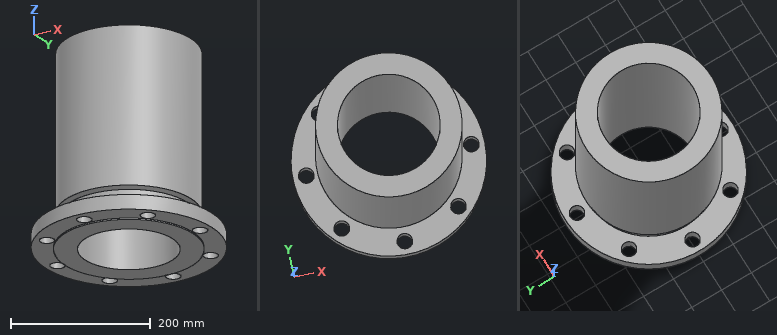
import cadquery as cq

total_height = 304.8
flange_diameter = 280.0
pipe_diameter = 210.0
neck_diameter = 197.0
bore_diameter = 147.0
raised_face_diameter = 216.0

raised_face_height = 2.0
flange_thickness = 23.0
neck_length = 26.0
shoulder_height = 4.0
neck_relief = 1.8

bolt_count = 8
bolt_circle_diameter = 240.5
bolt_hole_diameter = 22.0

flange_top = raised_face_height + flange_thickness
neck_top = flange_top + neck_length
shoulder_top = neck_top + shoulder_height


def turned_body():
    """Revolve the wall section: raised face, flange, neck with a bevelled foot, conical shoulder and pipe."""
    bore_radius = bore_diameter / 2
    raised_face_radius = raised_face_diameter / 2
    flange_radius = flange_diameter / 2
    neck_radius = neck_diameter / 2
    pipe_radius = pipe_diameter / 2
    section = [
        (bore_radius, 0),
        (raised_face_radius, 0),
        (raised_face_radius, raised_face_height),
        (flange_radius, raised_face_height),
        (flange_radius, flange_top),
        (neck_radius - neck_relief, flange_top),
        (neck_radius, flange_top + neck_relief),
        (neck_radius, neck_top),
        (pipe_radius, shoulder_top),
        (pipe_radius, total_height),
        (bore_radius, total_height),
    ]
    return cq.Workplane("XZ").polyline(section).close().revolve(360, (0, 0), (0, 1))


def bolt_holes():
    """Cylinders through the flange, one of them on the +X axis."""
    return (
        cq.Workplane("XY")
        .polarArray(bolt_circle_diameter / 2, 0, 360, bolt_count)
        .circle(bolt_hole_diameter / 2)
        .extrude(flange_top)
    )


result = turned_body().cut(bolt_holes())